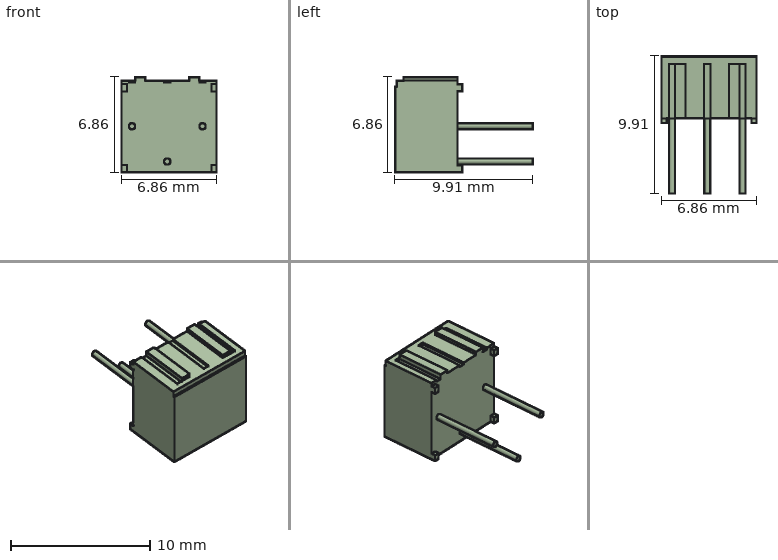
import cadquery as cq


total_length = 9.91
housing_width = 6.86
total_height = 6.86
housing_depth = 4.5

rear_lip_thickness = 0.1
rear_lip_drop = 0.45

rib_height = 0.25
rib_width = 0.73
slot_depth = 0.14
track_length = 3.91

foot_width = 0.39
foot_height = 0.52
foot_length = 0.34
upper_foot_drop = 0.27

lead_diameter = 0.46
lead_pitch = 2.54
lead_row_offset = -0.13
outer_lead_height = 3.32

deck_height = total_height - rib_height
lead_length = total_length - housing_depth
left_lead_x = lead_row_offset - lead_pitch
middle_lead_x = lead_row_offset
right_lead_x = lead_row_offset + lead_pitch
lead_places = [
    (left_lead_x, outer_lead_height),
    (middle_lead_x, outer_lead_height - lead_pitch),
    (right_lead_x, outer_lead_height),
]


def box_from_corner(size, corner):
    """Box that grows in +X, +Y and +Z from the given corner."""
    return cq.Workplane("XY").box(*size, centered=False).translate(corner)


def make_block():
    """Main block: its YZ profile, stepped down at the rear lip, extruded across X."""
    lip_front = housing_depth - rear_lip_thickness
    lip_height = deck_height - rear_lip_drop
    profile = [
        (0, 0),
        (housing_depth, 0),
        (housing_depth, lip_height),
        (lip_front, lip_height),
        (lip_front, deck_height),
        (0, deck_height),
    ]
    return cq.Workplane("YZ").polyline(profile).close().extrude(housing_width / 2, both=True)


def make_rib(left_x):
    """Raised rib on the top deck."""
    return box_from_corner((rib_width, track_length, rib_height), (left_x, 0, deck_height))


def make_slot(center_x):
    """Cutter for a slot as wide as a lead, open at the lead face."""
    corner = (center_x - lead_diameter / 2, 0, deck_height - slot_depth)
    return box_from_corner((lead_diameter, track_length, slot_depth), corner)


def make_foot(left_x, bottom_z):
    """Small block standing out of the lead face."""
    return box_from_corner((foot_width, foot_length, foot_height), (left_x, -foot_length, bottom_z))


def make_housing():
    """Block with two ribs, three slots and four corner feet."""
    housing = make_block()

    left_rib_x = left_lead_x + lead_diameter / 2
    right_rib_x = right_lead_x - lead_diameter / 2 - rib_width
    for rib_x in (left_rib_x, right_rib_x):
        housing = housing.union(make_rib(rib_x))

    for lead_x, _ in lead_places:
        housing = housing.cut(make_slot(lead_x))

    upper_foot_z = deck_height - upper_foot_drop - foot_height
    for foot_x in (-housing_width / 2, housing_width / 2 - foot_width):
        for foot_z in (0, upper_foot_z):
            housing = housing.union(make_foot(foot_x, foot_z))
    return housing


def make_lead(x, z):
    """Round lead that starts on the lead face and runs toward -Y."""
    return cq.Workplane("XZ").center(x, z).circle(lead_diameter / 2).extrude(lead_length)


housing = make_housing()
leads = [make_lead(x, z) for x, z in lead_places]

result = cq.Compound.makeCompound([housing.val(), *[lead.val() for lead in leads]])